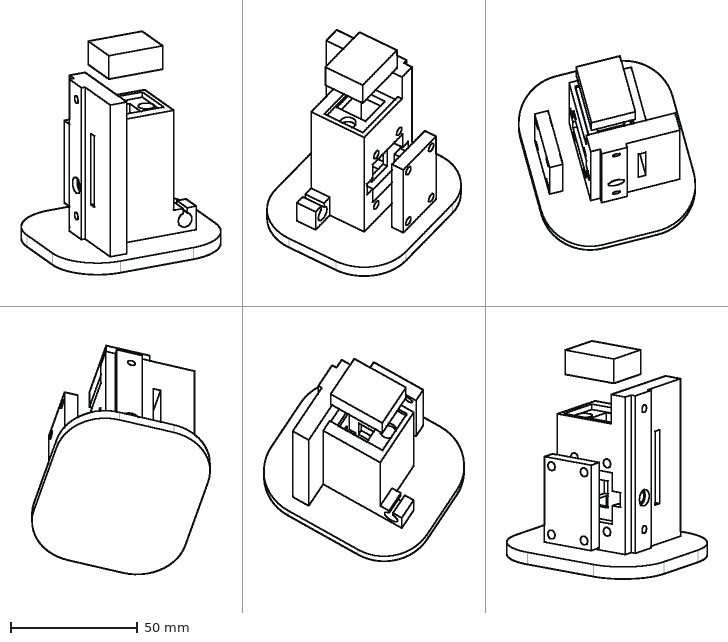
import cadquery as cq


base_corner_radius = 20.0
base_straight_x = 22.5
base_straight_y = 32.5
base_thickness = 5.0

tower_width = 25.5
tower_back = 32.5
tower_height = 52.5

plate_width = 36.5
plate_front = -1.4
plate_back = 6.0
plate_height = 64.5
corner_step = 0.4
rail_left = 3.95
rail_right = 14.5
rail_front = -3.0

rail_hole_x = 10.0
mount_hole_diameter = 3.0
mount_hole_depth = 6.0
mount_hole_heights = (8.5, 58.0)
led_height = 21.5
led_diameter = 4.9
led_flange_diameter = 6.5
led_flange_depth = 2.0

lid_length_x = 18.0
lid_length_y = 24.0
lid_height = 10.0
lid_bottom = 68.5
lid_clearance = 0.25
lid_left = 2.25
recess_depth = 2.2
magnet_diameter = 6.4
magnet_depth = 2.5
magnet_y = 27.5

optical_y = 16.0
shaft_left = 6.0
shaft_width = 13.8
shaft_length = 13.6
shaft_bottom = 10.8
chamber_right = 22.5
chamber_length = 19.5
chamber_bottom = 16.3
chamber_top = 46.5
filter_slot_width = 3.0

cover_left = -15.4
cover_thickness = 5.5
cover_length = 23.0
cover_height = 35.0
cover_bottom = 4.0
screw_diameter = 3.5
screw_pitch_y = 16.0
screw_pitch_z = 28.0
cover_screw_height = 21.6
tower_screw_height = 22.0
tower_screw_depth = 5.0
detector_height = 22.0
detector_size = 21.0
detector_depth = 4.0
tab_length = 29.0
tab_height = 6.0
window_size = 11.0

clip_length = 10.0
clip_height = 10.0
clip_width = 9.0
clip_hole_diameter = 6.0
clip_slot_width = 1.8


def block(x_range, y_range, z_range):
    """Box spanning the given ranges."""
    size = [high - low for low, high in (x_range, y_range, z_range)]
    corner = (x_range[0], y_range[0], z_range[0])
    return cq.Workplane("XY").box(*size, centered=False).translate(corner)


def around(middle, size):
    """Range of the given size centred on a value."""
    return (middle - size / 2, middle + size / 2)


def rod_x(diameter, start_x, length, y, z):
    """Cylinder running toward +X."""
    return cq.Workplane("YZ", origin=(start_x, y, z)).circle(diameter / 2).extrude(length)


def rod_y(diameter, start_y, length, x, z):
    """Cylinder running toward +Y."""
    return cq.Workplane("XZ", origin=(x, start_y, z)).circle(diameter / 2).extrude(-length)


def screw_rods(start_x, length, middle_z):
    """Four screw holes at the corners of the detector cover pattern."""
    rods = cq.Workplane("XY")
    for y in around(optical_y, screw_pitch_y):
        for z in around(middle_z, screw_pitch_z):
            rods = rods.add(rod_x(screw_diameter, start_x, length, y, z))
    return rods.combine()


def make_base():
    r = base_corner_radius
    base = block((-r, base_straight_x + r), (-r, base_straight_y + r), (-base_thickness, 0))
    return base.edges("|Z").fillet(r)


def make_clip():
    x_range = (tower_width - clip_width, tower_width)
    middle_y = tower_back + clip_length / 2
    middle_z = clip_height / 2
    clip = block(x_range, (tower_back, tower_back + clip_length), (0, clip_height))
    clip = clip.cut(rod_x(clip_hole_diameter, x_range[0], clip_width, middle_y, middle_z))
    return clip.cut(block(x_range, around(middle_y, clip_slot_width), (middle_z, clip_height)))


def make_front_plate():
    plate = block((0, plate_width), (plate_front, plate_back), (0, plate_height))
    plate = plate.union(block((rail_left, rail_right), (rail_front, plate_front), (0, plate_height)))
    return plate.cut(
        block((0, rail_left), (plate_front, plate_front + corner_step), (0, plate_height))
    )


def cut_lid_recess(body):
    x_range = around(lid_left + lid_length_x / 2, lid_length_x + 2 * lid_clearance)
    y_range = (plate_back, plate_back + lid_length_y + 2 * lid_clearance)
    floor = tower_height - recess_depth
    body = body.cut(block(x_range, y_range, (floor, tower_height)))
    magnet = cq.Workplane("XY", origin=(sum(x_range) / 2, magnet_y, floor - magnet_depth))
    return body.cut(magnet.circle(magnet_diameter / 2).extrude(magnet_depth))


def cut_sample_shaft(body):
    shaft_x = (shaft_left, shaft_left + shaft_width)
    body = body.cut(block(shaft_x, around(optical_y, shaft_length), (shaft_bottom, tower_height)))
    chamber_z = (chamber_bottom, chamber_top)
    body = body.cut(block((shaft_left, chamber_right), around(optical_y, chamber_length), chamber_z))
    slot_x = (chamber_right - filter_slot_width, chamber_right)
    return body.cut(block(slot_x, (plate_front, optical_y), chamber_z))


def cut_detector_pocket(body):
    depth = (0, detector_depth)
    pocket_y = around(optical_y, detector_size)
    body = body.cut(block(depth, pocket_y, around(detector_height, detector_size)))
    body = body.cut(block(depth, around(optical_y, tab_length), around(detector_height, tab_height)))
    window = around(optical_y, window_size)
    body = body.cut(block((0, shaft_left), window, around(detector_height, window_size)))
    return body.cut(screw_rods(0, tower_screw_depth, tower_screw_height))


def cut_rail_holes(body):
    for z in mount_hole_heights:
        body = body.cut(rod_y(mount_hole_diameter, rail_front, mount_hole_depth, rail_hole_x, z))
    body = body.cut(rod_y(led_diameter, rail_front, optical_y - rail_front, rail_hole_x, led_height))
    return body.cut(rod_y(led_flange_diameter, rail_front, led_flange_depth, rail_hole_x, led_height))


def make_housing():
    tower = block((0, tower_width), (plate_back, tower_back), (0, tower_height))
    body = make_base().union(tower).union(make_front_plate()).union(make_clip())
    body = cut_lid_recess(body)
    body = cut_sample_shaft(body)
    body = cut_detector_pocket(body)
    return cut_rail_holes(body)


def make_cover():
    cover = block(
        (cover_left, cover_left + cover_thickness),
        around(optical_y, cover_length),
        (cover_bottom, cover_bottom + cover_height),
    )
    return cover.cut(screw_rods(cover_left, cover_thickness, cover_screw_height))


def make_lid():
    lid_front = plate_back + lid_clearance
    return block(
        (lid_left, lid_left + lid_length_x),
        (lid_front, lid_front + lid_length_y),
        (lid_bottom, lid_bottom + lid_height),
    )


housing = make_housing()
cover = make_cover()
lid = make_lid()

result = cq.Compound.makeCompound([housing.val(), cover.val(), lid.val()])